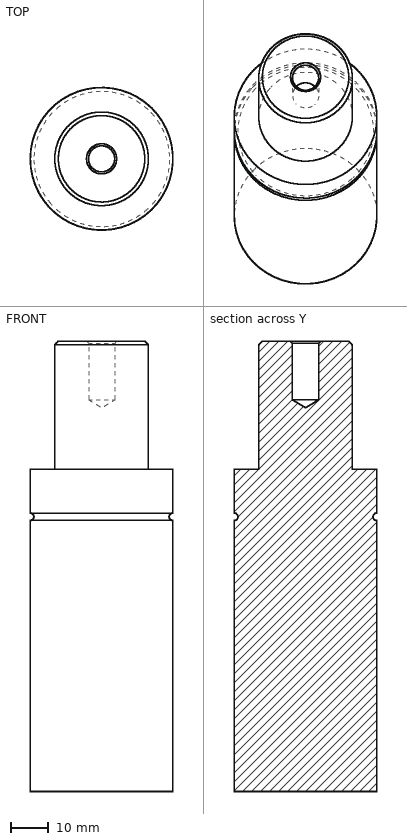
import cadquery as cq
import math

total_height = 120.0
body_diameter = 38.0
body_height = 85.9
rod_diameter = 25.0
rod_chamfer = 1.0

groove_height = 73.2
groove_radius = 1.0

hole_diameter = 7.0
hole_mouth_diameter = 8.0
hole_depth = 15.6
drill_point_angle = 118.0

body_radius = body_diameter / 2
rod_radius = rod_diameter / 2
hole_radius = hole_diameter / 2
mouth_radius = hole_mouth_diameter / 2
countersink_depth = mouth_radius - hole_radius
hole_floor = total_height - hole_depth
drill_point_depth = hole_radius / math.tan(math.radians(drill_point_angle / 2))
groove_floor_radius = body_radius - groove_radius
arc_offset = groove_radius * math.sqrt(0.5)


def groove_point(direction):
    """Midpoint of a quarter of the groove arc: -1 below, +1 above the groove centre."""
    return (-body_radius + arc_offset, groove_height + direction * arc_offset)


half_section = (
    cq.Workplane("XZ")
    .moveTo(0, 0)
    .lineTo(-body_radius, 0)
    .lineTo(-body_radius, groove_height - groove_radius)
    .threePointArc(groove_point(-1), (-groove_floor_radius, groove_height))
    .threePointArc(groove_point(1), (-body_radius, groove_height + groove_radius))
    .lineTo(-body_radius, body_height)
    .lineTo(-rod_radius, body_height)
    .lineTo(-rod_radius, total_height - rod_chamfer)
    .lineTo(-rod_radius + rod_chamfer, total_height)
    .lineTo(-mouth_radius, total_height)
    .lineTo(-hole_radius, total_height - countersink_depth)
    .lineTo(-hole_radius, hole_floor)
    .lineTo(0, hole_floor - drill_point_depth)
    .close()
)

result = half_section.revolve(360, (0, 0, 0), (0, 1, 0))